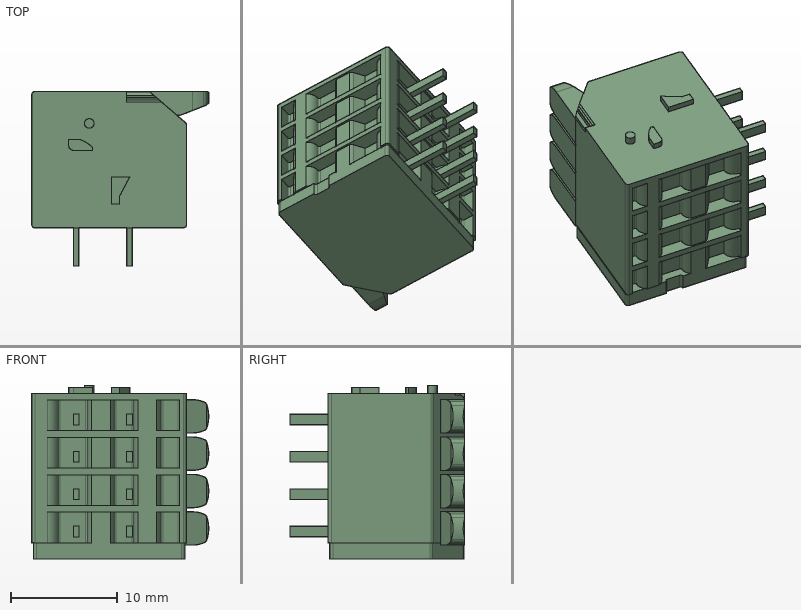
import cadquery as cq
import math

module_count = 4
pitch = 3.5
housing_width = 14.5
housing_depth = 12.78
corner_radius = 0.32
diagonal_x = 11.0
diagonal_y = 9.77
plate_height = 1.51
plate_inset = 0.15
plate_back_inset = 0.07
housing_top = plate_height + module_count * pitch

roof_thickness = 0.63
pocket_height = pitch - roof_thickness
pocket_depth = 1.18
root_radius = 0.17
quarter_round = pocket_depth - root_radius
front_recess_wall = (5.59, 7.38)
front_left_start = 1.5
front_middle_end = 9.95
front_right_span = (11.69, 13.85)
side_recess_wall = (4.5, 5.99)
side_middle_end = 9.38
side_back_span = (10.6, 12.15)
front_round = 0.41
front_lip_round = 0.36
side_round = 0.65
side_lip_round = 0.53
cutter_clearance = 0.33

bead_pocket_start = 0.88
bead_pocket_depth = 1.36
bead_radius = 1.0
bead_root_radius = 0.13
slope_foot = 3.56
slope_head = 4.21
slope_head_depth = 0.38
slope_head_bulge = 0.02

groove_start = 6.86
groove_end = 8.57
groove_depth = 0.23
groove_root_radius = 0.22

pin_columns = (4.16, 9.15)
pin_width = 0.53
pin_height = 1.01
pin_length = 3.56
pin_anchor = pocket_depth + 0.17
pin_centre_drop = 2.44

lever_tip = 16.58
lever_drop = 0.58
lever_overhang = 0.22
lever_height = pitch - lever_drop + lever_overhang
lever_heel_x = 13.63
lever_heel_step = (0.33, 0.03)
lever_nose = (16.35, 11.49)
lever_tip_y = 11.7
lever_flat_end = 15.07
lever_shoulder = (16.07, 0.2)
lever_end_corner = (16.41, 0.55)
lever_shoulder_bulge = 0.05
lever_corner_bulge = 0.07
lever_tip_chamfer = 0.13

peg_centre = (5.39, 9.78)
peg_diameter = 0.9
peg_height = 0.75
key_height = 0.56
rounded_key_x = (3.47, 5.7)
rounded_key_y = (7.26, 8.27)
rounded_key_radius = 0.45
rounded_key_bow_x = 4.53
rounded_key_bow_y = 7.53
rounded_key_bow = 0.08
wedge_key_points = [(7.46, 2.22), (8.24, 2.22), (8.24, 3.0), (9.19, 4.79), (7.46, 4.79)]

notch_start = 8.85
notch_steps = [
    (1.0, 0), (0.83, -0.13), (0.61, -0.13), (0.58, -0.18), (0.38, -0.12), (0.08, -0.38), (0, -0.53),
]


def housing_outline(inset=0.0, back_inset=0.0):
    """Corner points of the housing outline, moved inward by the given insets."""
    run = housing_width - diagonal_x
    rise = housing_depth - diagonal_y
    slope = rise / run
    shift = inset * math.hypot(run, rise) / run
    right = housing_width - inset
    back = housing_depth - back_inset
    right_y = diagonal_y + slope * inset - shift
    back_x = diagonal_x + (back_inset - shift) / slope
    return [(inset, inset), (right, inset), (right, right_y), (back_x, back), (inset, back)]


def rounded_block(outline, bottom, height):
    block = cq.Workplane("XY", origin=(0, 0, bottom)).polyline(outline).close().extrude(height)
    return block.edges("|Z").edges("not(>Y and >>X)").fillet(corner_radius)


def convex_mid(start, end):
    """Middle of an arc that meets a wall square to the face at its deep end."""
    width = abs(end[0] - start[0])
    drop = end[1] - start[1]
    radius = (width**2 + drop**2) / (2 * width)
    side = math.copysign(1, end[0] - start[0])
    half_angle = math.asin(min(1.0, drop / radius)) / 2
    centre = end[0] - side * radius
    return (centre + side * radius * math.cos(half_angle), end[1] - radius * math.sin(half_angle))


def root_mid(corner, side):
    """Middle of the concave root fillet whose sharp corner is given."""
    offset = root_radius * (1 - math.sqrt(0.5))
    return (corner[0] + side * offset, corner[1] - offset)


def place(point, on_front):
    """Turn (distance along face, depth) into (x, y)."""
    return point if on_front else (point[1], point[0])


def pocket(on_front, start, end, start_round=0.0, end_round=0.0, start_lip=0.0, end_lip=0.0):
    """Pocket section: each wall is straight, or round over the given width below its lip."""
    root_depth = pocket_depth - root_radius
    floor_start = start + start_round
    floor_end = end - end_round

    def at(along, depth):
        return place((along, depth), on_front)

    section = cq.Workplane("XY").moveTo(*at(start, -cutter_clearance)).lineTo(*at(start, start_lip))
    if start_round:
        mid = convex_mid((start, start_lip), (floor_start, root_depth))
        section = section.threePointArc(at(*mid), at(floor_start, root_depth))
    else:
        section = section.lineTo(*at(start, root_depth))
    mid = root_mid((floor_start, pocket_depth), 1)
    section = section.threePointArc(at(*mid), at(floor_start + root_radius, pocket_depth))
    section = section.lineTo(*at(floor_end - root_radius, pocket_depth))
    mid = root_mid((floor_end, pocket_depth), -1)
    section = section.threePointArc(at(*mid), at(floor_end, root_depth))
    if end_round:
        mid = convex_mid((end, end_lip), (floor_end, root_depth))
        section = section.threePointArc(at(*mid), at(end, end_lip))
    section = section.lineTo(*at(end, -cutter_clearance))
    return section.close().extrude(pocket_height)


def bead_pocket():
    """Left pocket with a quarter-round bead beside its front wall and an angled back wall."""
    wall = bead_pocket_start
    end = side_recess_wall[0]
    bead_top = bead_pocket_depth - bead_radius
    bead_start = wall + bead_root_radius
    bead_mid = bead_radius * math.sqrt(0.5)
    root_offset = bead_root_radius * (1 - math.sqrt(0.5))
    return (
        cq.Workplane("XY")
        .moveTo(-cutter_clearance, wall)
        .lineTo(bead_top - bead_root_radius, wall)
        .threePointArc((bead_top - root_offset, wall + root_offset), (bead_top, bead_start))
        .threePointArc(
            (bead_pocket_depth - bead_mid, bead_start + bead_mid),
            (bead_pocket_depth, bead_start + bead_radius),
        )
        .lineTo(bead_pocket_depth, slope_foot)
        .lineTo(slope_head_depth, slope_head)
        .sagittaArc((plate_inset, end), slope_head_bulge)
        .lineTo(-cutter_clearance, end)
        .close()
        .extrude(pocket_height)
    )


def wall_recess(on_front, span):
    """Sets the wall between two pockets back, flush with the end plate."""
    x0, y0 = place((span[0], 0), on_front)
    x1, y1 = place((span[1], plate_inset), on_front)
    return cq.Workplane("XY").box(x1 - x0, y1 - y0, pocket_height, centered=False).translate((x0, y0, 0))


def module_pockets():
    """All cutters of one module, with the module's bottom at Z = 0."""
    lip = plate_inset
    return [
        pocket(True, front_left_start, front_recess_wall[0], quarter_round, front_lip_round, end_lip=lip),
        pocket(True, front_recess_wall[1], front_middle_end, front_lip_round, front_round, start_lip=lip),
        pocket(True, *front_right_span, front_round),
        pocket(False, *side_back_span, side_round),
        pocket(False, side_recess_wall[1], side_middle_end, side_lip_round, side_round, start_lip=lip),
        bead_pocket(),
        wall_recess(True, front_recess_wall),
        wall_recess(False, side_recess_wall),
    ]


def lever():
    """One lever with the bottom of its module at Z = 0."""
    slope = (housing_depth - diagonal_y) / (housing_width - diagonal_x)
    heel_y = housing_depth - slope * (lever_heel_x - diagonal_x)
    plan = (
        cq.Workplane("XY", origin=(0, 0, -lever_overhang))
        .moveTo(diagonal_x, housing_depth)
        .lineTo(lever_heel_x, heel_y)
        .lineTo(lever_heel_x + lever_heel_step[0], heel_y + lever_heel_step[1])
        .lineTo(*lever_nose)
        .lineTo(lever_tip, lever_tip_y)
        .lineTo(lever_tip, housing_depth - lever_tip_chamfer)
        .lineTo(lever_tip - lever_tip_chamfer, housing_depth)
        .close()
        .extrude(lever_height)
    )
    top = lever_height - lever_overhang
    bottom = -lever_overhang
    shoulder_x, shoulder_drop = lever_shoulder
    corner_x, corner_drop = lever_end_corner
    profile = (
        cq.Workplane("XZ")
        .moveTo(diagonal_x, bottom)
        .lineTo(lever_flat_end, bottom)
        .sagittaArc((shoulder_x, bottom + shoulder_drop), -lever_shoulder_bulge)
        .sagittaArc((corner_x, bottom + corner_drop), -lever_corner_bulge)
        .threePointArc((lever_tip, (top + bottom) / 2), (corner_x, top - corner_drop))
        .sagittaArc((shoulder_x, top - shoulder_drop), -lever_corner_bulge)
        .sagittaArc((lever_flat_end, top), -lever_shoulder_bulge)
        .lineTo(diagonal_x, top)
        .close()
        .extrude(-housing_depth)
    )
    return plan.intersect(profile)


def pin(x):
    bottom = pitch - pin_centre_drop - pin_height / 2
    return (
        cq.Workplane("XY")
        .box(pin_width, pin_length + pin_anchor, pin_height, centered=(True, False, False))
        .translate((x, -pin_length, bottom))
    )


def roof_notch():
    """Cutter for the stepped notch at the back of the roof, open to the diagonal face."""
    front = notch_steps[0][0]
    section = [(housing_depth - distance, height) for distance, height in notch_steps]
    section += [(housing_depth, cutter_clearance), (housing_depth - front, cutter_clearance)]
    notch = cq.Workplane("YZ", origin=(notch_start, 0, housing_top)).polyline(section).close()
    return notch.extrude(housing_width - notch_start)


def roof_features():
    """Peg, rounded key and wedge key standing on the roof."""
    roof = cq.Workplane("XY", origin=(0, 0, housing_top))
    peg = roof.center(*peg_centre).circle(peg_diameter / 2).extrude(peg_height)
    left, right = rounded_key_x
    front, back = rounded_key_y
    rounded_key = (
        roof.moveTo(left, back)
        .lineTo(rounded_key_bow_x, back)
        .sagittaArc((right, rounded_key_bow_y), rounded_key_bow)
        .lineTo(right, front)
        .lineTo(left, front)
        .close()
        .extrude(key_height)
        .edges("|Z and <X and <Y")
        .fillet(rounded_key_radius)
    )
    wedge_key = roof.polyline(wedge_key_points).close().extrude(key_height)
    return [peg, rounded_key, wedge_key]


def plate_groove():
    length = groove_end - groove_start
    groove = (
        cq.Workplane("XY")
        .box(2 * groove_depth, length, plate_height, centered=False)
        .translate((plate_inset - groove_depth, groove_start, 0))
    )
    return groove.edges("|Z and >X").fillet(groove_root_radius)


housing = rounded_block(housing_outline(), plate_height, module_count * pitch)
for index in range(module_count):
    module_bottom = plate_height + index * pitch
    for cutter in module_pockets():
        housing = housing.cut(cutter.translate((0, 0, module_bottom)))
housing = housing.cut(roof_notch())

plate = rounded_block(housing_outline(plate_inset, plate_back_inset), 0, plate_height)
result = housing.union(plate.cut(plate_groove()))

for index in range(module_count):
    module_bottom = plate_height + index * pitch
    result = result.union(lever().translate((0, 0, module_bottom)))
    for column in pin_columns:
        result = result.union(pin(column).translate((0, 0, module_bottom)))
for feature in roof_features():
    result = result.union(feature)